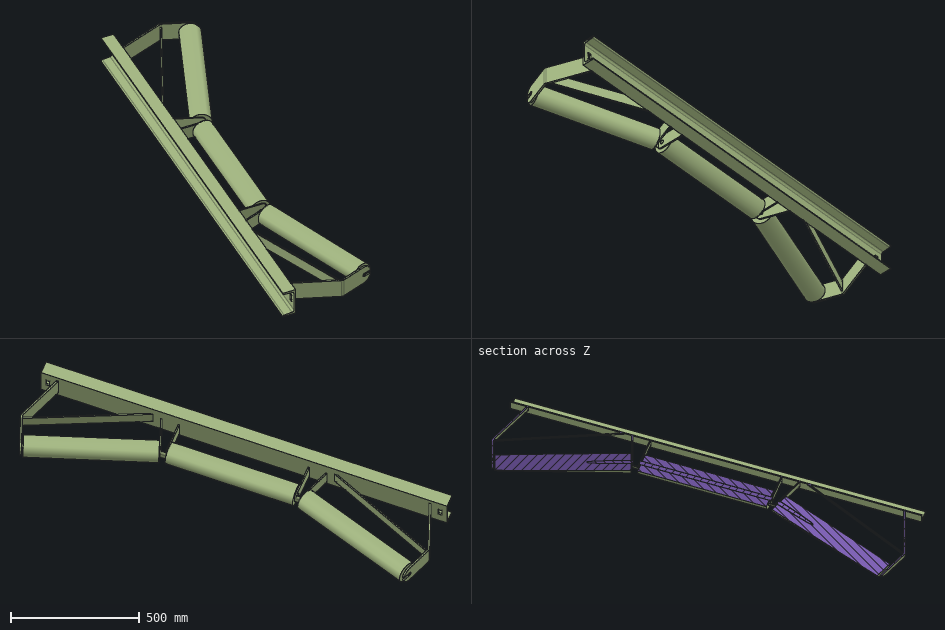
import cadquery as cq
import math

overall_length = 1714.0

beam_length = 1703.0
beam_height = 120.0
flange_width = 55.0
web_thickness = 7.0
flange_thickness = 9.0
flange_taper = 0.08
root_radius = 9.0
toe_radius = 6.3
beam_slot_width = 15.0
beam_slot_height = 30.0
beam_slot_x = 823.0

roller_diameter = 89.0
shaft_diameter = 15.0
wing_roller_length = 531.0
wing_angle = 20.0
wing_tilt = 2.0
wing_center = (555.0, 216.0, -10.0)
middle_roller_length = 535.0
middle_roller_y = 117.0
middle_roller_z = -20.0

bracket_height = 80.0
outer_plate_thickness = 7.7
outer_fold_y = 200.0
outer_fold_radius = 17.0
plate_rise = 35.0
plate_corner_radius = 38.0
inner_plate_thickness = 6.0
inner_plate_gap = 2.0
inner_bracket_top = 142.0
inner_bracket_height = 60.0
inner_bracket_z = -17.0
inner_corner_radius = 20.0
brace_thickness = 6.0
brace_height = 50.0
brace_head_y = 205.0
brace_foot_x = 380.0

sin_wing = math.sin(math.radians(wing_angle))
cos_wing = math.cos(math.radians(wing_angle))
tan_wing = sin_wing / cos_wing
sin_tilt = math.sin(math.radians(wing_tilt))
cos_tilt = math.cos(math.radians(wing_tilt))
half_wing = wing_roller_length / 2
outer_fold_x = overall_length / 2 + outer_fold_radius * (1 / cos_wing - 1)
wing_outer_reach = (outer_fold_x - wing_center[0]) * cos_wing + (outer_fold_y - wing_center[1]) * sin_wing
wing_inner_reach = half_wing + inner_plate_gap + inner_plate_thickness
outer_plate_gap = wing_outer_reach - outer_plate_thickness - half_wing
middle_half_shaft = middle_roller_length / 2 + inner_plate_gap + inner_plate_thickness


def wing_plane(distance):
    """Plane square to the right wing roller, at a distance from its middle towards the beam end.

    Its local x points down along the bracket plates.
    """
    axis = cq.Vector(cos_wing * cos_tilt, sin_wing * cos_tilt, sin_tilt)
    down = cq.Vector(sin_wing, -cos_wing, 0)
    return cq.Plane(cq.Vector(*wing_center) + axis * distance, down, axis)


def middle_plane(x):
    """Plane square to the middle roller at the given X, its local x pointing along Z."""
    return cq.Plane((x, middle_roller_y, middle_roller_z), (0, 0, 1), (1, 0, 0))


def mirrored(body):
    return body.mirror("YZ")


def channel():
    half_height = beam_height / 2
    toe_z = half_height - flange_thickness + flange_taper * flange_width / 2
    root_z = toe_z - flange_taper * (flange_width - web_thickness)
    profile = [
        (0, -half_height),
        (0, half_height),
        (-flange_width, half_height),
        (-flange_width, toe_z),
        (-web_thickness, root_z),
        (-web_thickness, -root_z),
        (-flange_width, -toe_z),
        (-flange_width, -half_height),
    ]
    body = cq.Workplane("YZ").polyline(profile).close().extrude(beam_length / 2, both=True)
    for side in (-1, 1):
        root = cq.selectors.NearestToPointSelector((0, -web_thickness, side * root_z))
        body = body.edges("|X").edges(root).fillet(root_radius)
        toe = cq.selectors.NearestToPointSelector((0, -flange_width, side * toe_z))
        body = body.edges("|X").edges(toe).fillet(toe_radius)
    slots = (
        cq.Workplane("XZ")
        .pushPoints([(-beam_slot_x, 0), (beam_slot_x, 0)])
        .rect(beam_slot_width, beam_slot_height)
        .extrude(web_thickness)
    )
    return body.cut(slots)


def upright(outline, height):
    """Plate bent to an outline in XY, with its height in Z centred on the beam."""
    return cq.Workplane("XY").polyline(outline).close().extrude(height / 2, both=True)


def outer_bracket():
    """Plate folded once, rising from the beam and backing the outer end of the wing roller."""
    inset = outer_plate_thickness / cos_wing
    upper_length = (wing_center[1] + wing_outer_reach * sin_wing - outer_fold_y) / cos_wing + plate_rise
    tip_x = outer_fold_x - upper_length * sin_wing
    tip_y = outer_fold_y + upper_length * cos_wing
    foot_x = outer_fold_x - outer_fold_y * tan_wing
    outline = [
        (foot_x, 0),
        (outer_fold_x, outer_fold_y),
        (tip_x, tip_y),
        (tip_x - outer_plate_thickness * cos_wing, tip_y - outer_plate_thickness * sin_wing),
        (outer_fold_x - inset, outer_fold_y),
        (foot_x - inset, 0),
    ]
    body = upright(outline, bracket_height)
    for x, radius in (
        (outer_fold_x, outer_fold_radius),
        (outer_fold_x - inset, outer_fold_radius - outer_plate_thickness),
    ):
        fold = cq.selectors.NearestToPointSelector((x, outer_fold_y, 0))
        body = body.edges("|Z").edges(fold).fillet(radius)
    for side in (-1, 1):
        corner = cq.selectors.NearestToPointSelector((tip_x, tip_y, side * bracket_height / 2))
        along_plate = cq.selectors.ParallelDirSelector(cq.Vector(cos_wing, sin_wing, 0))
        body = body.edges(along_plate).edges(corner).fillet(plate_corner_radius)
    return body


def inner_bracket():
    """Folded plate whose upright leg backs the middle roller and whose sloping leg backs the wing roller."""
    upright_x = middle_roller_length / 2 + inner_plate_gap
    bend_x = (
        wing_center[0]
        - (wing_inner_reach - inner_plate_thickness) / cos_wing
        - (inner_bracket_top - wing_center[1]) * tan_wing
    )
    foot_x = bend_x + inner_bracket_top * tan_wing
    inset = inner_plate_thickness / cos_wing
    under_y = inner_bracket_top - inner_plate_thickness
    under_x = bend_x + inner_plate_thickness * tan_wing - inset
    outline = [
        (upright_x, 0),
        (upright_x, inner_bracket_top),
        (bend_x, inner_bracket_top),
        (foot_x, 0),
        (foot_x - inset, 0),
        (under_x, under_y),
        (upright_x + inner_plate_thickness, under_y),
        (upright_x + inner_plate_thickness, 0),
    ]
    rounded = (
        cq.Workplane("YZ")
        .rect(2 * inner_bracket_top, inner_bracket_height)
        .extrude(bend_x + inner_bracket_top)
        .edges("|X and >Y")
        .fillet(inner_corner_radius)
    )
    return upright(outline, inner_bracket_height).intersect(rounded).translate((0, 0, inner_bracket_z))


def brace():
    """Diagonal strip from the fold of the outer bracket down to the beam."""
    head_x = outer_fold_x - outer_plate_thickness / cos_wing
    slope = math.atan2(brace_head_y, head_x - brace_foot_x)
    foot_width = brace_thickness / math.sin(slope)
    outline = [
        (brace_foot_x, 0),
        (head_x, brace_head_y),
        (head_x, brace_head_y - brace_thickness / math.cos(slope)),
        (brace_foot_x + foot_width, 0),
    ]
    return upright(outline, brace_height)


def shaft_slot():
    """Straight cut through the outer plate, from the wing shaft's axis up past the plate's tip."""
    return (
        cq.Workplane(wing_plane(half_wing))
        .center(-bracket_height / 2, 0)
        .rect(bracket_height, shaft_diameter)
        .extrude(2 * outer_plate_gap + outer_plate_thickness)
    )


def roller(start_plane, length):
    return cq.Workplane(start_plane).circle(roller_diameter / 2).circle(shaft_diameter / 2).extrude(length)


def shaft(start_plane, length):
    return cq.Workplane(start_plane).circle(shaft_diameter / 2).extrude(length)


wing_shaft = shaft(wing_plane(-wing_inner_reach), wing_inner_reach + wing_outer_reach)
wing_roller = roller(wing_plane(-half_wing), wing_roller_length)
middle_shaft = shaft(middle_plane(-middle_half_shaft), 2 * middle_half_shaft)
middle_roller = roller(middle_plane(-middle_roller_length / 2), middle_roller_length)

right_supports = [
    outer_bracket().cut(shaft_slot()).cut(wing_shaft),
    inner_bracket().cut(wing_shaft).cut(middle_shaft),
    brace(),
]
frame = channel()
for support in right_supports:
    frame = frame.union(support).union(mirrored(support))

rollers = [middle_roller, wing_roller, mirrored(wing_roller)]
shafts = [middle_shaft, wing_shaft, mirrored(wing_shaft)]

result = cq.Compound.makeCompound([body.val() for body in [frame, *rollers, *shafts]])